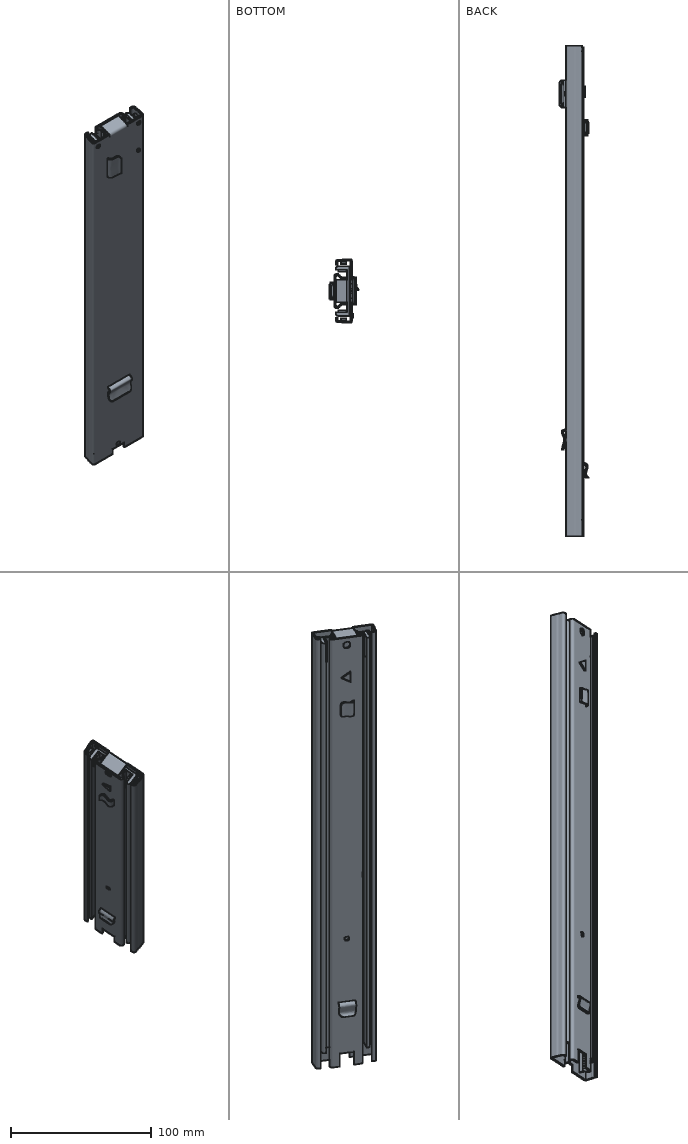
import cadquery as cq
import math

LENGTH = 350
TOP = LENGTH / 2
BOTTOM = -LENGTH / 2
SHEET = 1.22

OUTER_HALF_WIDTH = 22.8
OUTER_LIP_HALF_WIDTH = 22.5
OUTER_STEP_FRONT = -1.5
OUTER_STEP_BACK = 0
OUTER_BACK = 5.78
OUTER_LIP_FACE = -5.78
OUTER_LIP_EDGE = 19.0
OUTER_LIP_BEND = 1.8
OUTER_BACK_BEND = 1.5
OUTER_NOTCH_DEPTH = 5.2

TAB_HALF_WIDTH = 8.0
TAB_TIP = -5.5
TAB_TIP_ROUND = 0.7
TAB_BEND = 2.0

MIDDLE_HALF_WIDTH = 18.0
MIDDLE_FLANGE = 2.8
MIDDLE_WEB = 1.8
MIDDLE_BACK = 4.0
MIDDLE_LIP_FACE = -6.0
MIDDLE_LIP_ROUND = 2.0
MIDDLE_TOP = TOP - 4.0
MIDDLE_BOTTOM = BOTTOM + 12.0

INNER_HALF_WIDTH = 12.2
INNER_FACE = -7
INNER_ARM_END = 1.5
INNER_ARM_HALF_WIDTH = 9.8
INNER_SHOULDER_END = -4.2
INNER_ARM_START = -1.8
INNER_BEND = 2.0
INNER_TOP = TOP - 1.0
INNER_NOTCH_DEPTH = 10.5
NOTCH_HALF_WIDTH = 5.2

RETAINER_FACE = -2.0
RETAINER_BACK = 1.8
OUTER_RETAINER_Y = 19.2
OUTER_RETAINER_THICKNESS = 1.8
INNER_RETAINER_Y = 13.5
INNER_RETAINER_FACE = -4.2
INNER_RETAINER_LENGTH = 16.0

END_HOLE_DIAMETER = 5.2
END_HOLE_Z = TOP - 7
RIVET_HOLE_DIAMETER = 3.5
RIVET_HOLE_Z = -71.5
ARROW_Z = 142.0
ARROW_HEIGHT = 8.0
ARROW_TIP_Y = 4.2
ARROW_BASE_Y = -2.5
ARROW_RISE = 1.0

INNER_HOOK_WAVE = [(0, 0), (2.8, 2.8), (1.8, 6.3), (3.5, 10.5)]
INNER_SIDE_HOOK_HALF_WIDTH = 5.5
INNER_LOWER_HOOK_HALF_WIDTH = 6.3
INNER_SIDE_HOOK_ROOT_Y = -5.0
INNER_SIDE_HOOK_Z = 116.5
INNER_LOWER_HOOK_Z = -123.0
OUTER_LOWER_WAVE = [(0, 0), (3.0, 2.0), (1.8, 5.0), (1.8, 10.0), (3.0, 14.5)]
OUTER_SIDE_WAVE = [(0, 0), (2.8, 1.8), (3.0, 6.3), (5.0, 9.0)]
OUTER_HOOK_HALF_WIDTH = 9.8
OUTER_SIDE_HOOK_ROOT_Y = -9.8
OUTER_SIDE_HOOK_Z = 140.7
OUTER_LOWER_HOOK_Z = -99.0
HOOK_TIP_ROUND = 3.0

BOSS_Y = 17.5
BOSS_WIDTH = 2.8
BOSS_RISE = 0.88
BOSS_Z = OUTER_SIDE_HOOK_Z
RELIEF_HOLE_DIAMETER = 3.5
RELIEF_HOLE_Y = 18.2
RELIEF_HOLE_Z = TOP - 5.5
DIMPLE_DIAMETER = 3.5
DIMPLE_DEPTH = 0.7
DIMPLE_Z = BOTTOM + 7.7


def box(x0, x1, y0, y1, z0, z1):
    return cq.Workplane().box(x1 - x0, y1 - y0, z1 - z0, centered=False).translate((x0, y0, z0))


def centred_block(half_width, face, back, bottom, top):
    """Block centred across the width, from one X face to the other."""
    return box(face, back, -half_width, half_width, bottom, top)


def sheet_sides(centerline):
    """The two sides of a bent sheet that follows an open centerline."""
    left = []
    right = []
    for i, (u, v) in enumerate(centerline):
        before = centerline[max(i - 1, 0)]
        after = centerline[min(i + 1, len(centerline) - 1)]
        normal = math.atan2(after[1] - before[1], after[0] - before[0]) + math.pi / 2
        du = SHEET / 2 * math.cos(normal)
        dv = SHEET / 2 * math.sin(normal)
        left.append((u + du, v + dv))
        right.append((u - du, v - dv))
    return left, right


def through_web(diameter, x, z, depth):
    """Cylinder along +X from x, centred across the width."""
    return cq.Workplane("YZ", origin=(x, 0, z)).circle(diameter / 2).extrude(depth)


def hook(wave, half_width):
    """Wavy tab with its root at the origin, running down and rising toward +X; its tip is rounded."""
    centerline = [(rise, -distance) for rise, distance in wave]
    left, right = sheet_sides(centerline)
    outline = cq.Workplane("XZ", origin=(0, 2 * half_width, 0)).moveTo(*left[0])
    outline = outline.spline(left[1:], includeCurrent=True)
    outline = outline.lineTo(*right[-1]).spline(right[-2::-1], includeCurrent=True).close()
    tab = outline.extrude(4 * half_width)
    rise, length = wave[-1]
    plan = box(-SHEET, rise + 2 * SHEET, -half_width, half_width, -length, SHEET)
    return tab.intersect(plan.edges("|X and <Z").fillet(HOOK_TIP_ROUND))


def turned_sideways(tab):
    """Turn a tab that runs down so that it runs toward +Y."""
    return tab.rotate((0, 0, 0), (1, 0, 0), 90)


def turned_to_front(tab):
    """Turn a tab that rises toward +X so that it rises toward -X."""
    return tab.mirror("YZ")


def outer_section(inset, face, back):
    """Block with the stepped sides of the outer rail, moved inward by the given distance."""
    narrow = OUTER_LIP_HALF_WIDTH - inset
    wide = OUTER_HALF_WIDTH - inset
    half = [(face, narrow), (OUTER_STEP_FRONT, narrow), (OUTER_STEP_BACK, wide), (back, wide)]
    outline = half + [(x, -y) for x, y in reversed(half)]
    return cq.Workplane("XY", origin=(0, 0, BOTTOM)).polyline(outline).close().extrude(LENGTH)


def outer_rail():
    shell = outer_section(0, OUTER_LIP_FACE, OUTER_BACK)
    shell = shell.edges("|Z and <X").fillet(OUTER_LIP_BEND).edges("|Z and >X").fillet(OUTER_BACK_BEND)
    hollow = outer_section(SHEET, OUTER_LIP_FACE + SHEET, OUTER_BACK - SHEET)
    hollow = hollow.edges("|Z and <X").fillet(OUTER_LIP_BEND - SHEET)
    mouth = centred_block(OUTER_LIP_EDGE, OUTER_LIP_FACE, OUTER_LIP_FACE + SHEET, BOTTOM, TOP)
    rail = shell.cut(hollow).cut(mouth)

    tab_bottom = TOP - TAB_BEND - SHEET
    tab = centred_block(TAB_HALF_WIDTH, TAB_TIP, OUTER_BACK, tab_bottom, TOP)
    tab = tab.edges("|Y and >X and >Z").fillet(TAB_BEND)
    below = centred_block(TAB_HALF_WIDTH, TAB_TIP, OUTER_BACK - SHEET, tab_bottom, TOP - SHEET)
    below = below.edges("|Y and >X and >Z").fillet(TAB_BEND - SHEET)
    tab = tab.cut(below).edges("|Y and <X and >Z").fillet(TAB_TIP_ROUND)
    corner = centred_block(TAB_HALF_WIDTH, OUTER_BACK - SHEET, OUTER_BACK, TOP - TAB_BEND, TOP)
    rail = rail.cut(corner).union(tab)

    notch_top = BOTTOM + OUTER_NOTCH_DEPTH
    rail = rail.cut(centred_block(NOTCH_HALF_WIDTH, OUTER_BACK - SHEET, OUTER_BACK, BOTTOM, notch_top))
    rail = rail.cut(through_web(DIMPLE_DIAMETER, OUTER_BACK - SHEET, DIMPLE_Z, DIMPLE_DEPTH))

    relief = through_web(RELIEF_HOLE_DIAMETER, OUTER_BACK - SHEET, RELIEF_HOLE_Z, SHEET)
    for side in (-1, 1):
        rail = rail.cut(relief.translate((0, side * RELIEF_HOLE_Y, 0)))

    boss = cq.Workplane("YZ", origin=(OUTER_BACK, BOSS_Y, BOSS_Z)).circle(BOSS_WIDTH / 2).extrude(BOSS_RISE)
    rail = rail.union(boss)

    web_middle = OUTER_BACK - SHEET / 2
    side_hook = turned_sideways(hook(OUTER_SIDE_WAVE, OUTER_HOOK_HALF_WIDTH))
    rail = rail.union(side_hook.translate((web_middle, OUTER_SIDE_HOOK_ROOT_Y, OUTER_SIDE_HOOK_Z)))
    lower_hook = hook(OUTER_LOWER_WAVE, OUTER_HOOK_HALF_WIDTH)
    return rail.union(lower_hook.translate((web_middle, 0, OUTER_LOWER_HOOK_Z)))


def middle_rail():
    rail = centred_block(MIDDLE_HALF_WIDTH, MIDDLE_LIP_FACE, MIDDLE_BACK, MIDDLE_BOTTOM, MIDDLE_TOP)
    rail = rail.edges("|Z and <X").fillet(MIDDLE_LIP_ROUND)
    inside = MIDDLE_HALF_WIDTH - MIDDLE_FLANGE
    hollow = centred_block(inside, MIDDLE_LIP_FACE, MIDDLE_BACK - MIDDLE_WEB, MIDDLE_BOTTOM, MIDDLE_TOP)
    return rail.cut(hollow)


def inner_section(inset):
    """Block with the inner rail outline, moved inward by the given distance except at the arm ends."""
    face = INNER_FACE + inset
    wide = INNER_HALF_WIDTH - inset
    narrow = INNER_ARM_HALF_WIDTH - inset
    half = [
        (face, wide),
        (INNER_SHOULDER_END, wide),
        (INNER_ARM_START, narrow),
        (INNER_ARM_END, narrow),
    ]
    outline = half + [(x, -y) for x, y in reversed(half)]
    solid = cq.Workplane("XY", origin=(0, 0, BOTTOM)).polyline(outline).close().extrude(INNER_TOP - BOTTOM)
    return solid.edges("|Z and <X").fillet(INNER_BEND - inset)


def inner_rail():
    rail = inner_section(0).cut(inner_section(SHEET))
    web_back = INNER_FACE + SHEET

    notch_top = BOTTOM + INNER_NOTCH_DEPTH
    rail = rail.cut(centred_block(NOTCH_HALF_WIDTH, INNER_FACE, web_back, BOTTOM, notch_top))

    rail = rail.cut(through_web(END_HOLE_DIAMETER, INNER_FACE, END_HOLE_Z, SHEET))
    rail = rail.cut(through_web(RIVET_HOLE_DIAMETER, INNER_FACE, RIVET_HOLE_Z, SHEET))

    arrow = [
        (ARROW_TIP_Y, ARROW_Z),
        (ARROW_BASE_Y, ARROW_Z + ARROW_HEIGHT / 2),
        (ARROW_BASE_Y, ARROW_Z - ARROW_HEIGHT / 2),
    ]
    raised = cq.Workplane("YZ", origin=(INNER_FACE, 0, 0)).polyline(arrow).close().extrude(-ARROW_RISE)
    rail = rail.union(raised)

    web_middle = INNER_FACE + SHEET / 2
    side_hook = turned_sideways(turned_to_front(hook(INNER_HOOK_WAVE, INNER_SIDE_HOOK_HALF_WIDTH)))
    rail = rail.union(side_hook.translate((web_middle, INNER_SIDE_HOOK_ROOT_Y, INNER_SIDE_HOOK_Z)))
    lower_hook = turned_to_front(hook(INNER_HOOK_WAVE, INNER_LOWER_HOOK_HALF_WIDTH))
    return rail.union(lower_hook.translate((web_middle, 0, INNER_LOWER_HOOK_Z)))


def outer_retainer(side):
    y = side * (OUTER_RETAINER_Y + OUTER_RETAINER_THICKNESS / 2)
    half = OUTER_RETAINER_THICKNESS / 2
    return box(RETAINER_FACE, RETAINER_BACK, y - half, y + half, MIDDLE_BOTTOM, MIDDLE_TOP)


def inner_retainer(side):
    thickness = MIDDLE_HALF_WIDTH - MIDDLE_FLANGE - INNER_RETAINER_Y
    y = side * (INNER_RETAINER_Y + thickness / 2)
    half = thickness / 2
    bottom = MIDDLE_TOP - INNER_RETAINER_LENGTH
    return box(INNER_RETAINER_FACE, RETAINER_BACK, y - half, y + half, bottom, MIDDLE_TOP)


outer = outer_rail()
middle = middle_rail()
inner = inner_rail()
retainers = []
for side in (-1, 1):
    retainers.append(outer_retainer(side).val())
    retainers.append(inner_retainer(side).val())

result = cq.Compound.makeCompound([outer.val(), middle.val(), inner.val(), *retainers])